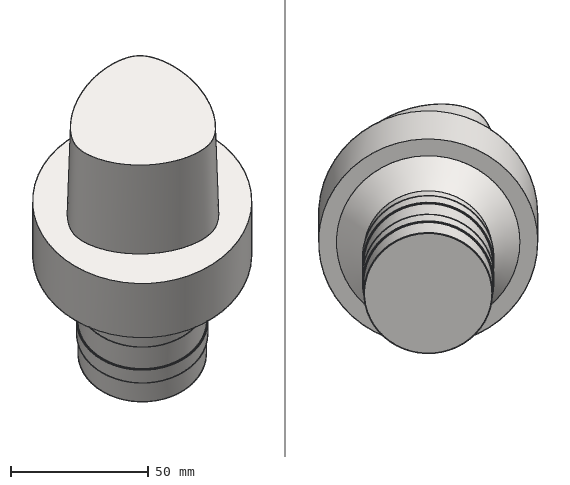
import cadquery as cq
import math

total_height = 133.0
collar_height = 30.0
taper_height = 48.0
cone_height = 10.0
collar_top = total_height - taper_height
collar_bottom = collar_top - collar_height
cone_bottom = collar_bottom - cone_height

collar_radius = 79.9 / 2
stem_radius = 47.0 / 2
band_radius = 48.0 / 2
cone_top_radius = stem_radius + cone_height
band_width = 7.7
band_bottoms = (11.0, 31.0)
edge_chamfer = 0.3

lobe_base_radius = 27.7
lobe_top_radius = 26.5
lobe_eccentricity = 2.0
lobe_points = 72


def cylinder(radius, bottom, height):
    return cq.Workplane("XY").workplane(offset=bottom).circle(radius).extrude(height)


def lobe_point(mean_radius, angle):
    """Point on a rounded triangle of constant width, with one lobe toward -Y."""
    along_lobe = (
        mean_radius * math.cos(angle)
        - 2 * lobe_eccentricity * math.cos(2 * angle)
        + lobe_eccentricity * math.cos(4 * angle)
    )
    across_lobe = (
        mean_radius * math.sin(angle)
        + 2 * lobe_eccentricity * math.sin(2 * angle)
        + lobe_eccentricity * math.sin(4 * angle)
    )
    return across_lobe, along_lobe


def lobe_outline(mean_radius):
    step = 2 * math.pi / lobe_points
    return [lobe_point(mean_radius, i * step) for i in range(lobe_points)]


def tapered_shank():
    return (
        cq.Workplane("XY")
        .workplane(offset=collar_top)
        .spline(lobe_outline(lobe_base_radius), periodic=True)
        .close()
        .workplane(offset=taper_height)
        .spline(lobe_outline(lobe_top_radius), periodic=True)
        .close()
        .loft(ruled=True)
    )


def cone():
    return (
        cq.Workplane("XY")
        .workplane(offset=cone_bottom)
        .circle(stem_radius)
        .workplane(offset=cone_height)
        .circle(cone_top_radius)
        .loft(ruled=True)
    )


result = cylinder(stem_radius, 0, cone_bottom).faces("<Z").chamfer(edge_chamfer)
for band_bottom in band_bottoms:
    band = cylinder(band_radius, band_bottom, band_width).edges("%CIRCLE").chamfer(edge_chamfer)
    result = result.union(band)

result = result.union(cone())
result = result.union(cylinder(collar_radius, collar_bottom, collar_height))
result = result.union(tapered_shank())